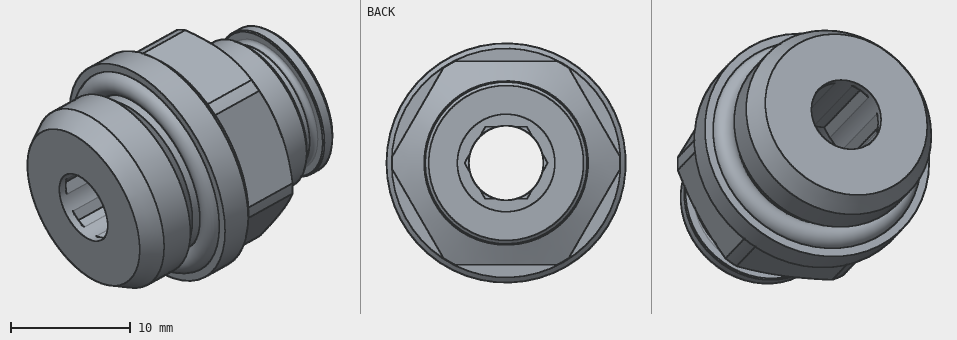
import cadquery as cq
import math

LENGTH = 21.85
LEAD_IN_END = 1.8
THREAD_END = 4.68
NECK_START = 5.85
COLLAR_START = 7.0
COLLAR_CHAMFER_START = 9.53
COLLAR_END = 9.97
SHOULDER_START = 16.4
SHOULDER_CHAMFER_START = 18.67
SHOULDER_END = 18.97
SLEEVE_END = 19.9
RELEASE_RING_START = 20.61

LEAD_IN_DIAMETER = 14.43
THREAD_DIAMETER = 16.5
NECK_DIAMETER = 14.3
COLLAR_DIAMETER = 20.0
SHOULDER_DIAMETER = 13.7
SLEEVE_DIAMETER = 11.65
RELEASE_RING_DIAMETER = 13.5

SEAL_DIAMETER = 18.55
SEAL_START = 6.1

HEX_ACROSS_FLATS = 17.0
HEX_CORNER_DIAMETER = 19.02
HEX_CONE_ANGLE = 30.0

RING_GROOVE_DIAMETER = 11.28
RING_GROOVE_END_DIAMETER = 11.98
COLLAR_CHAMFER = COLLAR_END - COLLAR_CHAMFER_START
SHOULDER_CHAMFER = SHOULDER_END - SHOULDER_CHAMFER_START
RING_CHAMFER = 0.28
RING_REAR_CHAMFER = 0.1

BORE_DIAMETER = 6.2
SOCKET_ACROSS_FLATS = 6.01
SOCKET_START = 0.72
TUBE_DIAMETER = 8.15
TUBE_STOP = COLLAR_END


def disc(diameter, start, end):
    """Cylinder on the Y axis between two stations."""
    return cq.Workplane("XZ", origin=(0, start, 0)).circle(diameter / 2).extrude(start - end)


def hexagon(across_flats, start, end):
    """Hexagonal prism on the Y axis with corners on X and flats facing Z."""
    corner_diameter = across_flats / math.cos(math.radians(30))
    return cq.Workplane("XZ", origin=(0, start, 0)).polygon(6, corner_diameter).extrude(start - end)


def revolve_profile(profile):
    """Full turn of a closed XY profile about the Y axis."""
    return profile.close().revolve(360, (0, 0, 0), (0, 1, 0))


def threaded_end():
    profile = (
        cq.Workplane("XY")
        .moveTo(0, 0)
        .lineTo(LEAD_IN_DIAMETER / 2, 0)
        .lineTo(THREAD_DIAMETER / 2, LEAD_IN_END)
        .lineTo(THREAD_DIAMETER / 2, THREAD_END)
        .lineTo(NECK_DIAMETER / 2, NECK_START)
        .lineTo(NECK_DIAMETER / 2, COLLAR_START)
        .lineTo(0, COLLAR_START)
    )
    return revolve_profile(profile)


def seal_ring():
    section_radius = (SEAL_DIAMETER - NECK_DIAMETER) / 4
    center_radius = SEAL_DIAMETER / 2 - section_radius
    section = cq.Workplane("XY").center(center_radius, SEAL_START + section_radius).circle(section_radius)
    return section.revolve(360, (-center_radius, 0, 0), (-center_radius, 1, 0))


def collar():
    return disc(COLLAR_DIAMETER, COLLAR_START, COLLAR_END).faces(">Y").chamfer(COLLAR_CHAMFER)


def wrench_hexagon():
    """Hexagon with rounded corners and a conical end meeting the shoulder."""
    cone_length = (HEX_CORNER_DIAMETER - SHOULDER_DIAMETER) / 2 * math.tan(math.radians(HEX_CONE_ANGLE))
    envelope = (
        cq.Workplane("XY")
        .moveTo(0, COLLAR_END)
        .lineTo(HEX_CORNER_DIAMETER / 2, COLLAR_END)
        .lineTo(HEX_CORNER_DIAMETER / 2, SHOULDER_START - cone_length)
        .lineTo(SHOULDER_DIAMETER / 2, SHOULDER_START)
        .lineTo(0, SHOULDER_START)
    )
    return hexagon(HEX_ACROSS_FLATS, COLLAR_END, SHOULDER_START).intersect(revolve_profile(envelope))


def shoulder():
    return disc(SHOULDER_DIAMETER, SHOULDER_START, SHOULDER_END).faces(">Y").chamfer(SHOULDER_CHAMFER)


def release_sleeve():
    """Sleeve with a hollow-curved groove below its flanged release ring."""
    groove_middle = (SLEEVE_END + RELEASE_RING_START) / 2
    profile = (
        cq.Workplane("XY")
        .moveTo(0, SHOULDER_END)
        .lineTo(SLEEVE_DIAMETER / 2, SHOULDER_END)
        .lineTo(SLEEVE_DIAMETER / 2, SLEEVE_END)
        .threePointArc(
            (RING_GROOVE_DIAMETER / 2, groove_middle),
            (RING_GROOVE_END_DIAMETER / 2, RELEASE_RING_START),
        )
        .lineTo(0, RELEASE_RING_START)
    )
    ring = (
        disc(RELEASE_RING_DIAMETER, RELEASE_RING_START, LENGTH)
        .faces(">Y").chamfer(RING_CHAMFER)
        .faces("<Y").chamfer(RING_REAR_CHAMFER)
    )
    return revolve_profile(profile).union(ring)


def passage():
    """Through bore, hexagon key socket and rear tube pocket."""
    bore = disc(BORE_DIAMETER, 0, LENGTH)
    socket = hexagon(SOCKET_ACROSS_FLATS, SOCKET_START, TUBE_STOP)
    tube_pocket = disc(TUBE_DIAMETER, TUBE_STOP, LENGTH)
    return bore.union(socket).union(tube_pocket)


body = threaded_end()
for section in (collar(), seal_ring(), wrench_hexagon(), shoulder(), release_sleeve()):
    body = body.union(section)

result = body.cut(passage())